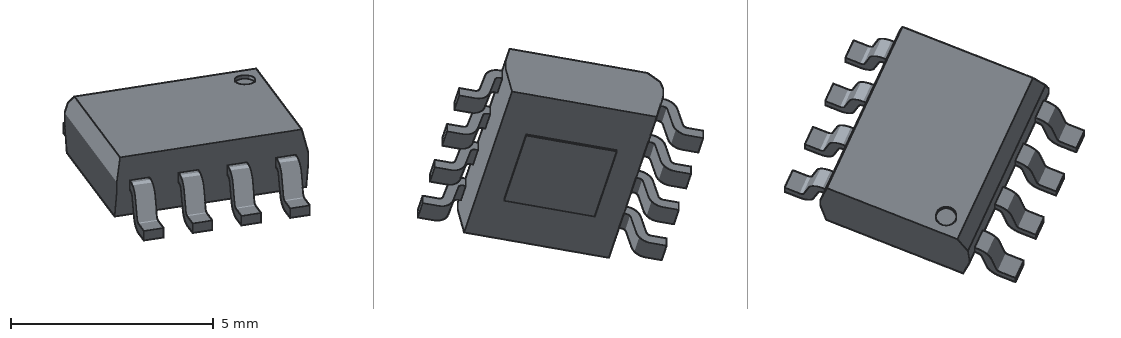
import cadquery as cq
import math

SPAN_X = 6.2
HOUSING_Y = 5.0
TOP_Z = 1.75

HOUSING_X = 4.005
HOUSING_BOTTOM_Z = 0.11
PARTING_Z = 1.14
DRAFT_ANGLE = 12.0
BEVEL = 0.31

MARK_DIAMETER = 0.51
MARK_DEPTH = 0.1
MARK_X = -1.13

PAD_SIDE = 2.305
PAD_THICKNESS = 0.05

LEADS_PER_SIDE = 4
LEAD_PITCH = 1.27
LEAD_WIDTH = 0.515
LEAD_THICKNESS = 0.265
INNER_BEND_RADIUS = 0.12
SHOULDER_FLAT = 0.075
LEG_ANGLE = 15.0

OUTER_BEND_RADIUS = INNER_BEND_RADIUS + LEAD_THICKNESS
LEAD_BAND_Z = PARTING_Z - LEAD_THICKNESS
DRAFT_SLOPE = math.tan(math.radians(DRAFT_ANGLE))
LEAD_ROW_YS = [(i - (LEADS_PER_SIDE - 1) / 2) * LEAD_PITCH for i in range(LEADS_PER_SIDE)]


def make_lower_housing():
    """Lower half: upright band beside the leads, then drafted X sides down to a flat bottom."""
    half_x = HOUSING_X / 2
    bottom_half_x = half_x - (LEAD_BAND_Z - HOUSING_BOTTOM_Z) * DRAFT_SLOPE
    profile = [
        (-half_x, PARTING_Z),
        (-half_x, LEAD_BAND_Z),
        (-bottom_half_x, HOUSING_BOTTOM_Z),
        (bottom_half_x, HOUSING_BOTTOM_Z),
        (half_x, LEAD_BAND_Z),
        (half_x, PARTING_Z),
    ]
    return cq.Workplane("XZ").polyline(profile).close().extrude(HOUSING_Y / 2, both=True)


def make_upper_housing():
    """Upper half: drafted inward on all four sides, bevelled along the top edge on -X."""
    upper = (
        cq.Workplane("XY", origin=(0, 0, PARTING_Z))
        .rect(HOUSING_X, HOUSING_Y)
        .extrude(TOP_Z - PARTING_Z, taper=DRAFT_ANGLE)
    )
    bevel_start_z = TOP_Z - BEVEL
    bevel_start_x = -HOUSING_X / 2 + (bevel_start_z - PARTING_Z) * DRAFT_SLOPE
    corner = [
        (bevel_start_x - BEVEL, bevel_start_z - BEVEL),
        (bevel_start_x - BEVEL, TOP_Z + BEVEL),
        (bevel_start_x + 2 * BEVEL, TOP_Z + BEVEL),
    ]
    cutter = cq.Workplane("XZ").polyline(corner).close().extrude(HOUSING_Y, both=True)
    return upper.cut(cutter)


def make_housing():
    """Moulded housing with the round pin 1 recess, in line with the last lead row."""
    mark = (
        cq.Workplane("XY", origin=(MARK_X, LEAD_ROW_YS[-1], TOP_Z))
        .circle(MARK_DIAMETER / 2)
        .extrude(-MARK_DEPTH)
    )
    return make_lower_housing().union(make_upper_housing()).cut(mark)


def make_pad():
    """Square thermal pad against the bottom face of the housing."""
    return (
        cq.Workplane("XY", origin=(0, 0, HOUSING_BOTTOM_Z))
        .rect(PAD_SIDE, PAD_SIDE)
        .extrude(-PAD_THICKNESS)
    )


def make_lead():
    """Lead on the -X side, centred on Y = 0: foot, bend, sloping leg, bend and shoulder."""
    tip_x = -SPAN_X / 2
    root_x = -HOUSING_X / 2
    angle = math.radians(LEG_ANGLE)
    across = math.cos(angle)
    rise = 1 - math.sin(angle)
    inner_x = INNER_BEND_RADIUS * across
    inner_z = INNER_BEND_RADIUS * rise
    outer_x = OUTER_BEND_RADIUS * across
    outer_z = OUTER_BEND_RADIUS * rise

    leg_z = LEAD_BAND_Z - inner_z - outer_z
    leg_x = leg_z * math.tan(angle)
    shoulder_x = root_x - SHOULDER_FLAT
    foot_x = shoulder_x - outer_x - leg_x - inner_x

    outline = (
        cq.Workplane("XZ", origin=(0, LEAD_WIDTH / 2, 0))
        .moveTo(tip_x, 0)
        .lineTo(foot_x, 0)
        .radiusArc((foot_x + outer_x, outer_z), -OUTER_BEND_RADIUS)
        .lineTo(shoulder_x - inner_x, LEAD_BAND_Z - inner_z)
        .radiusArc((shoulder_x, LEAD_BAND_Z), INNER_BEND_RADIUS)
        .lineTo(root_x, LEAD_BAND_Z)
        .lineTo(root_x, PARTING_Z)
        .lineTo(shoulder_x, PARTING_Z)
        .radiusArc((shoulder_x - outer_x, PARTING_Z - outer_z), -OUTER_BEND_RADIUS)
        .lineTo(foot_x + inner_x, LEAD_THICKNESS + inner_z)
        .radiusArc((foot_x, LEAD_THICKNESS), INNER_BEND_RADIUS)
        .lineTo(tip_x, LEAD_THICKNESS)
        .close()
    )
    return outline.extrude(LEAD_WIDTH)


def make_leads():
    """Both rows of leads, the +X row turned half a turn about Z."""
    left_lead = make_lead()
    right_lead = left_lead.rotate((0, 0, 0), (0, 0, 1), 180)
    leads = []
    for row_y in LEAD_ROW_YS:
        for lead in (left_lead, right_lead):
            leads.append(lead.translate((0, row_y, 0)).val())
    return leads


housing = make_housing()
pad = make_pad()
leads = make_leads()

result = cq.Compound.makeCompound([housing.val(), pad.val(), *leads])